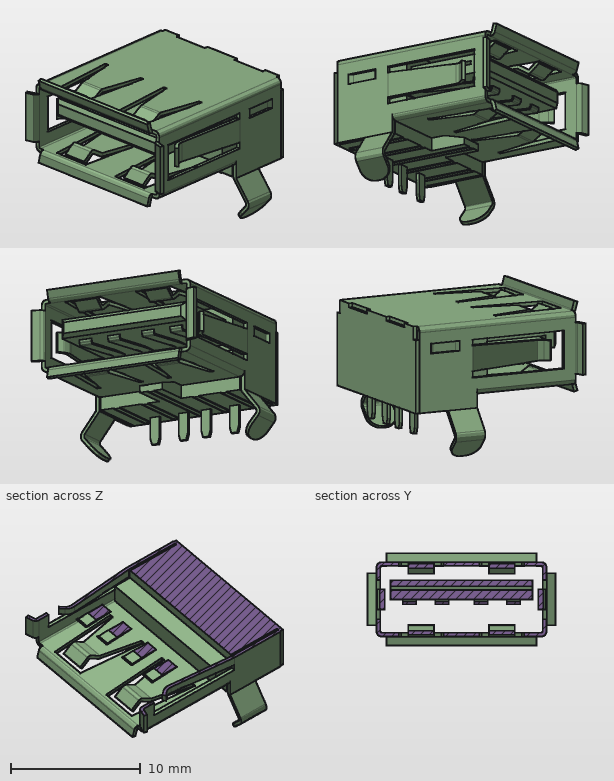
import cadquery as cq
import math


sheet = 0.31
opening_width = 12.48
opening_height = 5.12
shell_bottom = 1.03
bend_inner_radius = 0.11
shell_depth = 13.58

half_width = opening_width / 2 + sheet
floor_z = shell_bottom + sheet
ceiling_z = floor_z + opening_height
shell_top = ceiling_z + sheet
mid_z = (shell_bottom + shell_top) / 2
skirt_front = 8.56
skirt_top_z = 2.34

back_plate_half_width = 6.495
back_plate_neck_half_width = 6.07
back_plate_shoulder_z = 5.74
back_notch_offset = 3.08
back_notch_width = 3.0

flange_width = 11.57
side_flange_height = 4.02
flange_angle = 74.5
flange_rise = 0.69
flange_bend_radius = 0.08

finger_offset = 3.11
finger_root_y = 6.22
finger_neck_y = 2.72
finger_bend_y = 2.62
finger_crest_y = 1.66
finger_tip_y = 0.9
finger_dip = 0.6
finger_root_half_width = 1.73
finger_half_width = 1.0
finger_bend_radius = 0.02
finger_window_front_y = 0.26
finger_window_root_half_width = 2.02
finger_window_front_half_width = 1.54

window_front_y = 1.0
window_rear_y = 8.98
window_low_z = 2.38
window_high_z = 5.38
side_spring_root_half_height = 1.0
side_spring_tip_half_height = 0.775
side_spring_crest_y = 2.78
side_spring_tip_y = 2.21
side_spring_dip = 0.57
side_spring_tip_dip = 0.05
side_spring_bend_radius = 0.65

dimple_front_y = 10.1
dimple_rear_y = 12.57
dimple_low_z = 4.6
dimple_high_z = 5.38
dimple_depth = 0.26
dimple_end_radius = 0.25

leg_width = 2.52
leg_thickness = 0.29
leg_elbow_x = 8.06
leg_elbow_z = -1.9
leg_foot_x = 6.5
leg_foot_z = -3.675
leg_bend_radius = 0.27
leg_foot_radius = 1.1

body_half_width = 6.12
body_front_y = 7.48
recess_low_z = 2.91
recess_high_z = 4.89
wedge_front_y = 5.55
wedge_front_z = 0.54
wedge_slope_end_y = 7.39
wedge_width = 1.97
standoff_height = 0.06
standoff_width = 0.52
standoff_positions = (-4.73, -2.24, 0.0, 2.24, 4.73)
standoff_rear_y = 13.49

tongue_width = 10.96
tongue_low_z = 3.885
tongue_high_z = 5.38
tongue_front_y = 1.0
tongue_lip_rear_y = 2.03
tongue_slot_low_z = 4.62
tongue_chamfer = 0.31

contact_positions = (-4.0, -1.5, 1.5, 4.0)
contact_width = 1.05
contact_thickness = 0.12
contact_bend_radius = 0.01
contact_front_y = 2.3
contact_end_z = 4.3
contact_hook_z = 3.7
contact_bump_y = 2.45
contact_bump_z = 3.46
contact_root_z = 4.0

pin_positions = (-3.5, -1.0, 1.0, 3.5)
pin_width = 0.8
pin_thickness = 0.26
pin_center_y = 12.5
pin_length = 2.16
pin_taper_length = 0.49
pin_tip_width = 0.52


def box(x0, x1, y0, y1, z0, z1):
    """Box between two opposite corners."""
    return cq.Workplane("XY").box(x1 - x0, y1 - y0, z1 - z0, centered=False).translate((x0, y0, z0))


def mirrored_x(solid):
    """The solid together with its mirror image about X = 0."""
    return solid.union(solid.mirror("YZ"))


def flipped_z(solid):
    """Mirror image about the mid-height of the mouth."""
    return solid.mirror("XY", (0, 0, mid_z))


def offset_path(points, distance):
    """Open polyline shifted to its left by distance, with mitred corners."""
    directions = []
    for (u0, v0), (u1, v1) in zip(points, points[1:]):
        length = math.hypot(u1 - u0, v1 - v0)
        directions.append(((u1 - u0) / length, (v1 - v0) / length))
    before = [directions[0]] + directions
    after = directions + [directions[-1]]
    shifted = []
    for (u, v), (au, av), (bu, bv) in zip(points, before, after):
        scale = distance / (1 + au * bu + av * bv)
        shifted.append((u - scale * (av + bv), v + scale * (au + bu)))
    return shifted


def draw_rounded(wire, points, inner_radius, outer_radius):
    """Draw an open polyline with material on its left; right turns get the inner radius of a bend."""
    for (u0, v0), (u, v), (u1, v1) in zip(points, points[1:], points[2:]):
        before_length = math.hypot(u0 - u, v0 - v)
        after_length = math.hypot(u1 - u, v1 - v)
        bu, bv = (u0 - u) / before_length, (v0 - v) / before_length
        au, av = (u1 - u) / after_length, (v1 - v) / after_length
        radius = outer_radius if bv * au - bu * av > 0 else inner_radius
        half_angle = math.acos(bu * au + bv * av) / 2
        setback = radius / math.tan(half_angle)
        to_arc = radius / math.sin(half_angle) - radius
        bisector = math.hypot(bu + au, bv + av)
        middle = (u + to_arc * (bu + au) / bisector, v + to_arc * (bv + av) / bisector)
        wire = wire.lineTo(u + setback * bu, v + setback * bv)
        wire = wire.threePointArc(middle, (u + setback * au, v + setback * av))
    return wire.lineTo(*points[-1])


def bent_strip(plane, points, thickness, inner_radius, width):
    """Bent sheet: points run along one face, the sheet lies to their left; centred on the plane."""
    outer_radius = inner_radius + thickness
    far_face = offset_path(points, thickness)
    far_face.reverse()
    wire = cq.Workplane(plane).moveTo(*points[0])
    wire = draw_rounded(wire, points, inner_radius, outer_radius)
    wire = wire.lineTo(*far_face[0])
    wire = draw_rounded(wire, far_face, inner_radius, outer_radius)
    return wire.close().extrude(width / 2, both=True)


def make_tube():
    """Rectangular sleeve with rounded long edges and a skirt down to the board at the rear."""
    outer_radius = bend_inner_radius + sheet
    outer = box(-half_width, half_width, 0, shell_depth, shell_bottom, shell_top)
    outer = outer.edges("|Y").fillet(outer_radius)
    inner_half_width = opening_width / 2
    inner = box(-inner_half_width, inner_half_width, 0, shell_depth, floor_z, ceiling_z)
    tube = outer.cut(inner.edges("|Y").fillet(bend_inner_radius))
    rear_floor = box(-half_width, half_width, skirt_front, shell_depth, shell_bottom, skirt_top_z)
    skirt = box(inner_half_width, half_width, skirt_front, shell_depth, 0, skirt_top_z)
    return tube.cut(rear_floor).union(mirrored_x(skirt))


def make_back_plate():
    rear_y = shell_depth + sheet
    plate = box(-back_plate_half_width, back_plate_half_width, shell_depth, rear_y, 0, back_plate_shoulder_z)
    neck = box(-back_plate_neck_half_width, back_plate_neck_half_width, shell_depth, rear_y,
               back_plate_shoulder_z, shell_top)
    notch = box(back_notch_offset - back_notch_width / 2, back_notch_offset + back_notch_width / 2,
                shell_depth, rear_y, ceiling_z, shell_top)
    return plate.union(neck).cut(mirrored_x(notch))


def flange_path(wall):
    """(Y, height) points of a flange's outer face, bending outwards at the mouth edge of the wall."""
    lean = math.radians(flange_angle)
    corner_y = -flange_bend_radius * math.tan(lean / 2)
    tip_y = corner_y - flange_rise / math.tan(lean)
    return [(sheet, wall), (corner_y, wall), (tip_y, wall + flange_rise)]


def make_flanges():
    top = bent_strip("YZ", flange_path(shell_top), sheet, flange_bend_radius, flange_width)
    side_path = [(u, y) for y, u in flange_path(half_width)]
    side_path.reverse()
    side = bent_strip("XY", side_path, sheet, flange_bend_radius, side_flange_height).translate((0, 0, mid_z))
    return top.union(flipped_z(top)).union(mirrored_x(side))


def symmetric_outline(rows):
    """Points of a shape symmetric about its own axis from (half width, position) rows."""
    return rows + [(-half, position) for half, position in reversed(rows)]


def make_finger_window():
    rows = [
        (finger_window_root_half_width, finger_root_y),
        (finger_window_front_half_width, finger_window_front_y),
    ]
    window = cq.Workplane("XY").polyline(symmetric_outline(rows)).close().extrude(sheet)
    return window.translate((finger_offset, 0, ceiling_z))


def make_finger():
    """Spring finger of the top wall, dipping into the mouth near its tip."""
    rows = [
        (finger_root_half_width, finger_root_y),
        (finger_half_width, finger_neck_y),
        (finger_half_width, 0),
    ]
    blank = cq.Workplane("XY").polyline(symmetric_outline(rows)).close().extrude(shell_top)
    path = [
        (finger_root_y, shell_top),
        (finger_bend_y, shell_top),
        (finger_crest_y, shell_top - finger_dip),
        (finger_tip_y, shell_top),
    ]
    strip = bent_strip("YZ", path, sheet, finger_bend_radius, 2 * finger_root_half_width)
    return strip.intersect(blank).translate((finger_offset, 0, 0))


def make_side_window():
    return box(opening_width / 2, half_width, window_front_y, window_rear_y, window_low_z, window_high_z)


def make_side_spring():
    """Tapered spring of the +X wall, leaning inwards and flaring out again at its tip."""
    path = [
        (half_width - side_spring_tip_dip, side_spring_tip_y),
        (half_width - side_spring_dip, side_spring_crest_y),
        (half_width, window_rear_y),
    ]
    height = 2 * side_spring_root_half_height
    strip = bent_strip("XY", path, sheet, side_spring_bend_radius, height).translate((0, 0, mid_z))
    taper_front_y = side_spring_tip_y - sheet
    outline = [
        (window_rear_y, mid_z + side_spring_root_half_height),
        (taper_front_y, mid_z + side_spring_tip_half_height),
        (taper_front_y, mid_z - side_spring_tip_half_height),
        (window_rear_y, mid_z - side_spring_root_half_height),
    ]
    taper = cq.Workplane("YZ").polyline(outline).close().extrude(half_width)
    return strip.intersect(taper)


def make_leg():
    """Snap-in board leg of the +X wall: out to an elbow, then back in to a rounded foot."""
    overrun_x = half_width - (leg_elbow_x - half_width)
    path = [(leg_foot_x, leg_foot_z), (leg_elbow_x, leg_elbow_z), (overrun_x, -leg_elbow_z)]
    leg = bent_strip("XZ", path, leg_thickness, leg_bend_radius, leg_width)
    below_wall = box(opening_width / 2, leg_elbow_x, -leg_width, leg_width, leg_foot_z, 0)
    leg = leg.intersect(below_wall)
    foot_end = cq.selectors.BoxSelector(
        (leg_foot_x - leg_thickness, -leg_width, leg_foot_z - leg_thickness),
        (leg_foot_x + leg_thickness, leg_width, leg_foot_z + leg_thickness),
    )
    leg = leg.edges(foot_end).edges("not |Y").fillet(leg_foot_radius)
    return leg.translate((0, skirt_front + leg_width / 2, 0))


def make_dimple():
    """Shallow pocket of the +X wall with rounded front and rear ends."""
    floor_x = half_width - dimple_depth
    dimple = box(floor_x, half_width, dimple_front_y, dimple_rear_y, dimple_low_z, dimple_high_z)
    return dimple.faces("<X").edges("|Z").fillet(dimple_end_radius)


def make_shell():
    tube = make_tube()
    finger_windows = mirrored_x(make_finger_window())
    fingers = mirrored_x(make_finger())
    tube = tube.cut(finger_windows).cut(flipped_z(finger_windows))
    tube = tube.cut(mirrored_x(make_side_window()))
    tube = tube.cut(mirrored_x(make_dimple()))
    tube = tube.union(fingers).union(flipped_z(fingers))
    tube = tube.union(mirrored_x(make_side_spring()))
    tube = tube.union(mirrored_x(make_leg()))
    return tube.union(make_back_plate()).union(make_flanges())


def make_body():
    """Insulator block with a recess across its front; below the shell floor it stops at the skirt."""
    outline = [
        (shell_depth, 0),
        (skirt_front, 0),
        (skirt_front, shell_bottom),
        (body_front_y, shell_bottom),
        (body_front_y, ceiling_z),
        (shell_depth, ceiling_z),
    ]
    body = cq.Workplane("YZ").polyline(outline).close().extrude(body_half_width, both=True)
    recess = box(-body_half_width, body_half_width, body_front_y, window_rear_y, recess_low_z, recess_high_z)
    return body.cut(recess)


def make_wedge():
    """Foot in the middle of the insulator, reaching forward under the shell floor."""
    outline = [
        (skirt_front, 0),
        (wedge_front_y, 0),
        (wedge_front_y, wedge_front_z),
        (wedge_slope_end_y, shell_bottom),
        (skirt_front, shell_bottom),
    ]
    return cq.Workplane("YZ").polyline(outline).close().extrude(wedge_width / 2, both=True)


def make_standoff(x):
    """Low rib under the insulator; the middle one runs on under the wedge."""
    front_y = wedge_front_y if x == 0 else skirt_front
    return box(x - standoff_width / 2, x + standoff_width / 2, front_y, standoff_rear_y, -standoff_height, 0)


def make_tongue():
    """Tongue with a chamfered front lip and a crosswise slot running back from the lip."""
    half_tongue = tongue_width / 2
    tongue = box(-half_tongue, half_tongue, tongue_front_y, window_rear_y, tongue_low_z, tongue_high_z)
    slot = box(-half_tongue, half_tongue, tongue_lip_rear_y, window_rear_y, tongue_slot_low_z, recess_high_z)
    return tongue.faces("<Y").chamfer(tongue_chamfer).cut(slot)


def make_contact(x):
    """Contact strip sloping down out of the tongue to a bump, its front end hooked back up."""
    path = [
        (contact_front_y, contact_end_z),
        (contact_front_y, contact_hook_z),
        (contact_bump_y, contact_bump_z),
        (window_rear_y + contact_thickness, contact_root_z),
    ]
    strip = bent_strip("YZ", path, contact_thickness, contact_bend_radius, contact_width)
    return strip.translate((x, 0, 0))


def make_pin(x):
    rows = [
        (pin_width / 2, 0),
        (pin_width / 2, pin_taper_length - pin_length),
        (pin_tip_width / 2, -pin_length),
    ]
    pin = cq.Workplane("XZ").polyline(symmetric_outline(rows)).close().extrude(pin_thickness / 2, both=True)
    return pin.translate((x, pin_center_y, 0))


result = make_shell().union(make_body()).union(make_wedge()).union(make_tongue())
for standoff_x in standoff_positions:
    result = result.union(make_standoff(standoff_x))
for contact_x in contact_positions:
    result = result.union(make_contact(contact_x))
for pin_x in pin_positions:
    result = result.union(make_pin(pin_x))